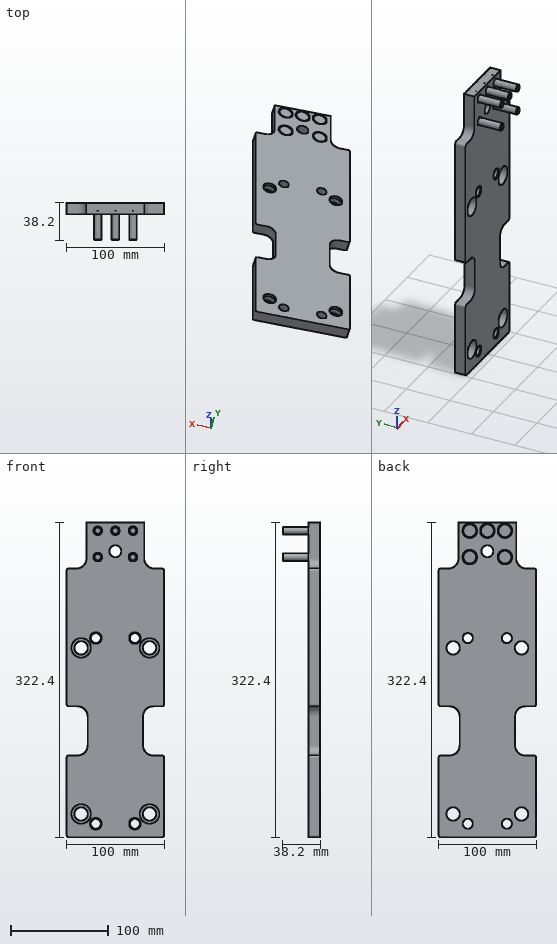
import cadquery as cq

plate_height = 322.4
plate_width = 100.0
plate_thickness = 12.0
neck_width = 59.3
neck_height = 47.0
shoulder_z = plate_height - neck_height
waist_width = 57.0
waist_bottom_z = 84.0
waist_height = 50.0
waist_top_z = waist_bottom_z + waist_height
inner_corner_radius = 10.0
outer_corner_radius = 2.5

mount_spacing_x = 70.0
mount_spacing_z = 170.0
mount_bottom_z = 24.0
mount_hole_diameter = 13.5
mount_counterbore_diameter = 20.0
mount_counterbore_depth = 9.0

thread_spacing_x = 40.0
thread_spacing_z = 190.0
thread_bottom_z = mount_bottom_z - (thread_spacing_z - mount_spacing_z) / 2
thread_core_diameter = 10.11
thread_diameter = 12.0
thread_chamfer = (thread_diameter - thread_core_diameter) / 2

neck_hole_diameter = 12.0
neck_hole_edge_distance = 29.5
neck_hole_z = plate_height - neck_hole_edge_distance

screw_offset_x = 18.0
screw_edge_distance = 8.5
screw_row_spacing = 27.0
screw_upper_z = plate_height - screw_edge_distance
screw_lower_z = screw_upper_z - screw_row_spacing
screw_positions = [
    (-screw_offset_x, screw_upper_z),
    (0, screw_upper_z),
    (screw_offset_x, screw_upper_z),
    (-screw_offset_x, screw_lower_z),
    (screw_offset_x, screw_lower_z),
]
screw_diameter = 8.0
screw_length = 30.0
screw_tip_chamfer = 0.8
screw_head_diameter = 13.0
screw_head_height = 8.0
screw_projection = 26.2
screw_seat_y = screw_length - screw_projection
screw_hole_diameter = 9.0
screw_counterbore_diameter = 15.0


y_direction = cq.Vector(0, 1, 0)


def cylinder(x, z, diameter, start_y, end_y):
    """Cylinder along Y between two Y positions."""
    start = cq.Vector(x, start_y, z)
    return cq.Workplane(cq.Solid.makeCylinder(diameter / 2, end_y - start_y, start, y_direction))


def cone(x, z, start_diameter, end_diameter, start_y, end_y):
    """Cone frustum along Y between two Y positions."""
    start = cq.Vector(x, start_y, z)
    return cq.Workplane(
        cq.Solid.makeCone(start_diameter / 2, end_diameter / 2, end_y - start_y, start, y_direction)
    )


def block(width, bottom_z, top_z):
    """Full-thickness rectangle centred on X = 0."""
    blank = cq.Workplane().box(width, plate_thickness, top_z - bottom_z, centered=(True, False, False))
    return blank.translate((0, 0, bottom_z))


def grid(spacing_x, bottom_z, spacing_z):
    """Four (X, Z) positions on a rectangle centred on X = 0."""
    return [(x, z) for x in (-spacing_x / 2, spacing_x / 2) for z in (bottom_z, bottom_z + spacing_z)]


def corners(half_width, heights):
    """Selector for the Y-direction edges at both sides of the given heights."""
    margin = 0.1
    selector = None
    for x in (-half_width, half_width):
        for z in heights:
            box = cq.selectors.BoxSelector(
                (x - margin, -margin, z - margin), (x + margin, plate_thickness + margin, z + margin)
            )
            selector = box if selector is None else selector + box
    return selector


def make_outline():
    """Plate blank: foot, waist, body and neck with rounded corners."""
    blank = block(plate_width, 0, waist_bottom_z)
    blank = blank.union(block(waist_width, waist_bottom_z, waist_top_z))
    blank = blank.union(block(plate_width, waist_top_z, shoulder_z))
    blank = blank.union(block(neck_width, shoulder_z, plate_height))
    outer_heights = (0, waist_bottom_z, waist_top_z, shoulder_z)
    blank = blank.edges(corners(plate_width / 2, outer_heights)).fillet(outer_corner_radius)
    blank = blank.edges(corners(waist_width / 2, (waist_bottom_z, waist_top_z))).fillet(inner_corner_radius)
    return blank.edges(corners(neck_width / 2, (shoulder_z,))).fillet(inner_corner_radius)


def make_plate():
    """Blank with all its holes, counterbored from the front for mounting and from the back for screws."""
    plate = make_outline()
    for x, z in grid(mount_spacing_x, mount_bottom_z, mount_spacing_z):
        plate = plate.cut(cylinder(x, z, mount_hole_diameter, 0, plate_thickness))
        plate = plate.cut(cylinder(x, z, mount_counterbore_diameter, 0, mount_counterbore_depth))
    for x, z in grid(thread_spacing_x, thread_bottom_z, thread_spacing_z):
        plate = plate.cut(cylinder(x, z, thread_core_diameter, 0, plate_thickness))
        plate = plate.cut(cone(x, z, thread_diameter, thread_core_diameter, 0, thread_chamfer))
    plate = plate.cut(cylinder(0, neck_hole_z, neck_hole_diameter, 0, plate_thickness))
    for x, z in screw_positions:
        plate = plate.cut(cylinder(x, z, screw_hole_diameter, 0, plate_thickness))
        plate = plate.cut(cylinder(x, z, screw_counterbore_diameter, screw_seat_y, plate_thickness))
    return plate


def make_screw(x, z):
    """Cap screw pointing toward -Y, its head resting on the counterbore floor."""
    tip_y = -screw_projection
    shank = cylinder(x, z, screw_diameter, tip_y, screw_seat_y).faces("<Y").chamfer(screw_tip_chamfer)
    head = cylinder(x, z, screw_head_diameter, screw_seat_y, screw_seat_y + screw_head_height)
    return shank.union(head)


plate = make_plate()
screws = [make_screw(x, z) for x, z in screw_positions]

result = cq.Compound.makeCompound([plate.val(), *[screw.val() for screw in screws]])